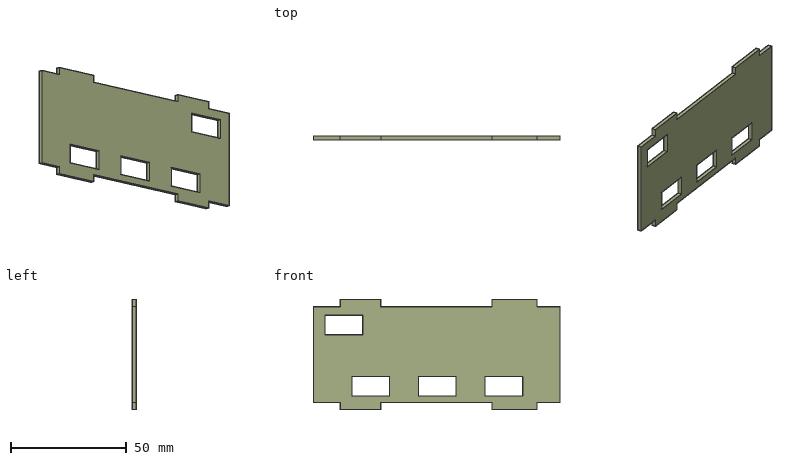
import cadquery as cq

length = 106.5
thickness = 1.82
overall_height = 47.58
tab_height = 3.1
body_height = overall_height - 2 * tab_height

left_tab = (11.6, 17.6)
right_tab = (77.0, 19.6)

window_width = 16.1
window_height = 8.3

lower_window_count = 3
lower_window_pitch = 28.7
first_lower_window_offset = 16.75
lower_window_edge_gap = 2.9
upper_window_offset = 5.15
upper_window_edge_gap = 3.8

left_end = -length / 2
body_top = body_height / 2
body_bottom = -body_height / 2


def block(left, bottom, width, height):
    """Full-thickness rectangular block placed by its lower left corner."""
    return cq.Workplane("XY").box(width, thickness, height).translate(
        (left + width / 2, 0, bottom + height / 2)
    )


def plate_with_tabs():
    """Plain plate with two tab bars crossing its full height."""
    plate = block(left_end, body_bottom, length, body_height)
    for offset, width in (left_tab, right_tab):
        plate = plate.union(block(left_end + offset, -overall_height / 2, width, overall_height))
    return plate.clean()


def window(offset, bottom):
    """Cutter for one window, placed from the left end of the plate."""
    return block(left_end + offset, bottom, window_width, window_height)


result = plate_with_tabs()

for index in range(lower_window_count):
    window_offset = first_lower_window_offset + index * lower_window_pitch
    result = result.cut(window(window_offset, body_bottom + lower_window_edge_gap))

upper_window_bottom = body_top - upper_window_edge_gap - window_height
result = result.cut(window(upper_window_offset, upper_window_bottom))